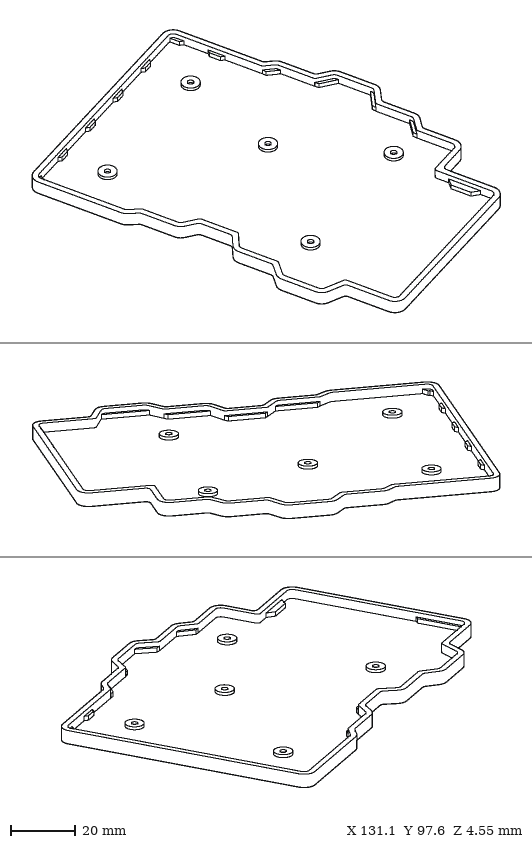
import cadquery as cq
import math

total_height = 4.55
floor_thickness = 1.5
boss_height = 1.0
ledge_height = 1.5

wall = 2.0
outer_convex_radius = 3.8
outer_concave_radius = 1.5
cavity_convex_radius = outer_convex_radius - wall
cavity_concave_radius = 1.0

length = 131.1
width = 97.6
x_left = -length / 2
x_right = length / 2

column_depth = 86.65
back_3 = width / 2
back_2 = back_3 - 5.0
back_1 = back_2 - 2.9
back_4 = back_3 - 6.0
back_5 = back_4 - 4.95
back_6 = 23.8
front_1 = back_1 - column_depth
front_2 = back_2 - column_depth
front_3 = back_3 - column_depth
front_4 = back_4 - column_depth
front_5 = -width / 2
front_6 = -41.0

outline = [
    (x_left, back_1),
    (-31.4, back_1),
    (-27.9, back_2),
    (-14.4, back_2),
    (-10.1, back_3),
    (5.9, back_3),
    (10.1, back_4),
    (23.5, back_4),
    (27.7, back_5),
    (43.2, back_5),
    (43.2, back_6),
    (x_right, back_6),
    (x_right, front_6),
    (46.2, front_6),
    (42.3, front_5),
    (26.2, front_5),
    (21.6, front_4),
    (7.4, front_4),
    (3.5, front_3),
    (-8.3, front_3),
    (-12.6, front_2),
    (-26.6, front_2),
    (-30.8, front_1),
    (x_left, front_1),
]

key_pitch = 17.0
boss_diameter = 6.0
boss_hole_diameter = 2.0
left_boss_x = -47.2
left_boss_back_y = 23.0
right_boss_x = 24.8
right_boss_back_y = 25.0
boss_row_spacing = 3 * key_pitch
boss_centers = [
    (left_boss_x, left_boss_back_y),
    (left_boss_x, left_boss_back_y - boss_row_spacing),
    (right_boss_x, right_boss_back_y),
    (right_boss_x, right_boss_back_y - boss_row_spacing),
    (-11.1, 9.0),
]

ledge_depth = 1.0
side_tab_length = 5.3
side_tab_count = 4
back_tab_length = 6.0
corner_ledge_end_x = -59.0
block_ledge_start_x = 46.5
block_ledge_end_x = 58.0
block_ledge_depth = 2.2
right_ledge_start_y = -21.7
corner_gusset = [(0, 0), (0, 2.9), (0.9, 1.9), (1.6, 1.9), (2.8, 0)]


def direction(start, end):
    """Unit vector from start to end."""
    distance = math.dist(start, end)
    return (end[0] - start[0]) / distance, (end[1] - start[1]) / distance


def corner_directions(points, index):
    """Directions of the sides that arrive at and leave one corner."""
    corner = points[index]
    following = points[(index + 1) % len(points)]
    return direction(points[index - 1], corner), direction(corner, following)


def is_convex(points, index):
    """True where a clockwise outline turns right."""
    arriving, leaving = corner_directions(points, index)
    return arriving[0] * leaving[1] - arriving[1] * leaving[0] < 0


def inset(points, distance):
    """Move every side of a clockwise outline inward by the same distance."""
    moved = []
    for index, (x, y) in enumerate(points):
        arriving, leaving = corner_directions(points, index)
        cosine = arriving[0] * leaving[0] + arriving[1] * leaving[1]
        reach = distance / (1 + cosine)
        moved.append((x + reach * (arriving[1] + leaving[1]), y - reach * (arriving[0] + leaving[0])))
    return moved


def extrude_outline(points, height):
    return cq.Workplane("XY").polyline(points).close().extrude(height)


def rounded_prism(points, convex_radius, concave_radius, height):
    """Extrude a clockwise outline and round its vertical edges."""
    body = extrude_outline(points, height)
    for index, (x, y) in enumerate(points):
        radius = convex_radius if is_convex(points, index) else concave_radius
        corner_edge = cq.selectors.NearestToPointSelector((x, y, height / 2))
        body = body.edges("|Z").edges(corner_edge).fillet(radius)
    return body


def ledge(start, end, depth=ledge_depth, start_meets_wall=False, end_meets_wall=False):
    """Trapezoid on a wall stretch: a free end slopes at 45 degrees, the other runs into the next wall."""
    along = direction(start, end)
    inward = (along[1], -along[0])
    embed = wall / 2

    def place(origin, forward, depth_in):
        return (
            origin[0] + forward * along[0] + depth_in * inward[0],
            origin[1] + forward * along[1] + depth_in * inward[1],
        )

    start_slope = -depth if start_meets_wall else depth
    end_slope = -depth if end_meets_wall else depth
    corners = [
        place(start, 0, -embed),
        place(start, 0, 0),
        place(start, start_slope, depth),
        place(end, -end_slope, depth),
        place(end, 0, 0),
        place(end, 0, -embed),
    ]
    return extrude_outline(corners, floor_thickness + ledge_height)


def step_ledges(points):
    """Ledges on the sloping back steps and on the front ends of columns 2 to 5."""
    back_steps = [1, 3, 5, 7]
    front_flats = [14, 16, 18, 20]
    ledges = []
    for index in back_steps + front_flats:
        following = index + 1
        ledges.append(ledge(
            points[index],
            points[following],
            start_meets_wall=is_convex(points, index),
            end_meets_wall=is_convex(points, following),
        ))
    return ledges


def straight_wall_ledges():
    """Ledges and tabs on the left, back and right walls and in the front left corner."""
    left = x_left + wall
    right = x_right - wall
    back = back_1 - wall
    block_back = back_6 - wall
    ledges = []
    for row in range(side_tab_count):
        y = left_boss_back_y - row * key_pitch
        ledges.append(ledge((left, y - side_tab_length / 2), (left, y + side_tab_length / 2)))
    ledges.append(ledge(
        (left_boss_x - back_tab_length / 2, back),
        (left_boss_x + back_tab_length / 2, back),
    ))
    ledges.append(ledge((left, back), (corner_ledge_end_x, back), start_meets_wall=True))
    ledges.append(ledge(
        (block_ledge_start_x, block_back),
        (block_ledge_end_x, block_back),
        depth=block_ledge_depth,
    ))
    ledges.append(ledge((right, right_ledge_start_y), (right, front_6 + wall), end_meets_wall=True))
    gusset = extrude_outline(corner_gusset, floor_thickness + ledge_height)
    ledges.append(gusset.translate((left, front_1 + wall, 0)))
    return ledges


cavity_outline = inset(outline, wall)
shell = rounded_prism(outline, outer_convex_radius, outer_concave_radius, total_height)
cavity = rounded_prism(cavity_outline, cavity_convex_radius, cavity_concave_radius, total_height)
result = shell.cut(cavity.translate((0, 0, floor_thickness)))

for body in step_ledges(cavity_outline) + straight_wall_ledges():
    result = result.union(body.intersect(shell))

bosses = (
    cq.Workplane("XY", origin=(0, 0, floor_thickness))
    .pushPoints(boss_centers)
    .circle(boss_diameter / 2)
    .circle(boss_hole_diameter / 2)
    .extrude(boss_height)
)
result = result.union(bosses)